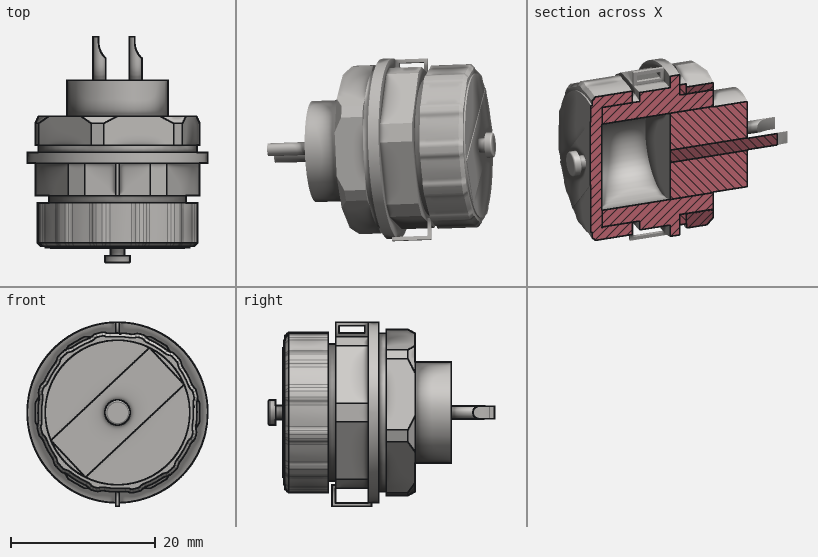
import cadquery as cq
import math


FLANGE_DIAMETER = 25.0
FLANGE_THICKNESS = 1.5
HEX_ACROSS_FLATS = 21.0
HEX_ACROSS_CORNERS = 22.75
HEX_LENGTH = 4.5
THREAD_DIAMETER = 19.0
LOOP_WIDTH = 0.5
LOOP_BAR = 0.5
RIM_OVERLAP = 0.01
CAP_GAP = 1.0

GASKET_DIAMETER = 22.0
GASKET_THICKNESS = 1.0
NUT_THICKNESS = 4.0
NUT_ACROSS_CORNERS = 23.25
NUT_CHAMFER = 1.0
NUT_TURN = 43.8

INSERT_DIAMETER = 14.0
INSERT_PROJECTION = 5.0
CONTACT_DIAMETER = 1.8
CONTACT_SPACING = 5.0
CONTACT_PROJECTION = 6.0
SCOOP_RADIUS = 3.0
SCOOP_LENGTH = 3.0
SCOOP_OFFSET = 0.1

CAP_LENGTH = 6.0
CAP_END_WALL = 1.5
CAP_CHAMFER = 0.5
RIDGE_COUNT = 12
RIDGE_RADIUS = 11.3
VALLEY_RADIUS = 11.0
CREST_HALF_ANGLES = (2.9, 1.5, 2.2)
FLANK_ARC_ANGLE = 2.7
CAP_TURN = 43.2
DISC_DIAMETER = 20.0
DISC_HEIGHT = 0.2
PLATE_WIDTH = 7.0
PLATE_HEIGHT = 0.1
KNOB_STEM_DIAMETER = 2.0
KNOB_STEM_LENGTH = 1.0
KNOB_HEAD_DIAMETER = 3.5
KNOB_HEAD_LENGTH = 1.0
KNOB_FILLET = 0.25

insert_back = FLANGE_THICKNESS + GASKET_THICKNESS + NUT_THICKNESS + INSERT_PROJECTION
nut_back = insert_back - INSERT_PROJECTION
gasket_back = nut_back - NUT_THICKNESS
contact_back = insert_back + CONTACT_PROJECTION
hex_front = -HEX_LENGTH
cap_back = hex_front - CAP_GAP
cap_front = cap_back - CAP_LENGTH
thread_front = cap_front + CAP_END_WALL
disc_front = cap_front - DISC_HEIGHT
plate_front = disc_front - PLATE_HEIGHT
stem_front = plate_front - KNOB_STEM_LENGTH


def section_at(y):
    """Workplane across the axis at y: local x is X, local y is Z, extrusions run to -Y."""
    return cq.Workplane("XZ", origin=(0, y, 0))


def cylinder(diameter, back, front):
    return section_at(back).circle(diameter / 2).extrude(back - front)


def hexagon(across_flats, back, front):
    """Hexagonal prism with corners on the X axis."""
    across_points = across_flats / math.cos(math.pi / 6)
    return section_at(back).polygon(6, across_points).extrude(back - front)


def cut_corner_hexagon(across_flats, across_corners, back, front):
    """Hexagonal prism whose six corners are cut off flat."""
    corner_cutter = hexagon(across_corners, back, front).rotate((0, 0, 0), (0, 1, 0), 30)
    return hexagon(across_flats, back, front).intersect(corner_cutter)


def loop_block(back, front, bottom, top):
    """Thin block in the plane X = 0."""
    size = (LOOP_WIDTH, back - front, top - bottom)
    centre = (0, (back + front) / 2, (top + bottom) / 2)
    return cq.Workplane("XY").box(*size).translate(centre)


def make_strap_eye():
    """Rectangular frame in the corner between flange and hexagon, on the +Z side."""
    bottom = HEX_ACROSS_FLATS / 2
    top = FLANGE_DIAMETER / 2 - RIM_OVERLAP
    frame = loop_block(LOOP_BAR, hex_front, bottom, top)
    window = loop_block(-LOOP_BAR, hex_front + LOOP_BAR, bottom + LOOP_BAR, top - LOOP_BAR)
    return frame.cut(window)


def make_hook():
    """L-shaped bar from the flange rim to the front face of the hexagon, on the -Z side."""
    rim = -FLANGE_DIAMETER / 2
    front = hex_front - LOOP_BAR
    flat = -HEX_ACROSS_FLATS / 2
    long_bar = loop_block(LOOP_BAR, front, rim - LOOP_BAR, rim + RIM_OVERLAP)
    short_bar = loop_block(hex_front, front, rim - LOOP_BAR, flat + LOOP_BAR)
    return long_bar.union(short_bar)


def make_housing():
    body = cylinder(THREAD_DIAMETER, nut_back, thread_front)
    body = body.union(cylinder(FLANGE_DIAMETER, FLANGE_THICKNESS, 0))
    body = body.union(cut_corner_hexagon(HEX_ACROSS_FLATS, HEX_ACROSS_CORNERS, 0, hex_front))
    body = body.union(make_strap_eye()).union(make_hook())
    return body.cut(cylinder(INSERT_DIAMETER, nut_back, thread_front))


def make_gasket():
    ring = cylinder(GASKET_DIAMETER, gasket_back, FLANGE_THICKNESS)
    return ring.cut(cylinder(THREAD_DIAMETER, gasket_back, FLANGE_THICKNESS))


def make_nut():
    """Hexagon nut with its cut-off corners chamfered at the back."""
    corner_cutter = hexagon(NUT_ACROSS_CORNERS, nut_back, gasket_back).faces(">Y").chamfer(NUT_CHAMFER)
    corner_cutter = corner_cutter.rotate((0, 0, 0), (0, 1, 0), 30)
    nut = hexagon(HEX_ACROSS_FLATS, nut_back, gasket_back).intersect(corner_cutter)
    nut = nut.cut(cylinder(THREAD_DIAMETER, nut_back, gasket_back))
    return nut.rotate((0, 0, 0), (0, 1, 0), -NUT_TURN)


def make_contact(x):
    """Round contact with a solder scoop cut into the +X side of its back end."""
    contact = cylinder(CONTACT_DIAMETER, contact_back, 0).translate((x, 0, 0))
    flat_x = x - SCOOP_OFFSET
    wall_to_side = CONTACT_DIAMETER / 2 + SCOOP_OFFSET
    arc_length = math.sqrt(SCOOP_RADIUS**2 - (SCOOP_RADIUS - wall_to_side)**2)
    arc_back = contact_back - SCOOP_LENGTH + arc_length
    round_cut = (
        cq.Workplane("XY")
        .center(flat_x + SCOOP_RADIUS, arc_back)
        .circle(SCOOP_RADIUS)
        .extrude(CONTACT_DIAMETER, both=True)
    )
    flat_length = contact_back - arc_back
    flat_cut = (
        cq.Workplane("XY")
        .center(flat_x + SCOOP_RADIUS / 2, arc_back + flat_length / 2)
        .rect(SCOOP_RADIUS, flat_length)
        .extrude(CONTACT_DIAMETER, both=True)
    )
    return contact.cut(round_cut).cut(flat_cut)


def make_insert(contacts):
    insert = cylinder(INSERT_DIAMETER, insert_back, 0)
    for contact in contacts:
        insert = insert.cut(contact)
    return insert


def polar(radius, degrees):
    angle = math.radians(degrees)
    return (radius * math.cos(angle), radius * math.sin(angle))


def grip_outline(y):
    """Closed outline of the cap: ridges joined to round valleys by S-shaped flanks."""
    pitch = 360 / RIDGE_COUNT
    height = RIDGE_RADIUS - VALLEY_RADIUS
    flank_middle = VALLEY_RADIUS + height / 2
    quarter_rise = height / 8
    low = VALLEY_RADIUS + quarter_rise
    high = RIDGE_RADIUS - quarter_rise
    half_arc = FLANK_ARC_ANGLE / 2

    def crest_at(index):
        return CREST_HALF_ANGLES[index % len(CREST_HALF_ANGLES)]

    foot_angle = 2 * FLANK_ARC_ANGLE
    outline = section_at(y).moveTo(*polar(VALLEY_RADIUS, -crest_at(0) - foot_angle))
    for index in range(RIDGE_COUNT):
        ridge = index * pitch
        crest = crest_at(index)
        middle = crest + FLANK_ARC_ANGLE
        foot = crest + foot_angle
        valley_start = ridge + foot
        valley_end = ridge + pitch - crest_at(index + 1) - foot_angle
        valley_middle = (valley_start + valley_end) / 2
        outline = (
            outline
            .threePointArc(polar(low, ridge - foot + half_arc), polar(flank_middle, ridge - middle))
            .threePointArc(polar(high, ridge - middle + half_arc), polar(RIDGE_RADIUS, ridge - crest))
            .threePointArc(polar(RIDGE_RADIUS, ridge), polar(RIDGE_RADIUS, ridge + crest))
            .threePointArc(polar(high, ridge + middle - half_arc), polar(flank_middle, ridge + middle))
            .threePointArc(polar(low, ridge + foot - half_arc), polar(VALLEY_RADIUS, valley_start))
            .threePointArc(polar(VALLEY_RADIUS, valley_middle), polar(VALLEY_RADIUS, valley_end))
        )
    return outline.close()


def make_knob():
    stem = cylinder(KNOB_STEM_DIAMETER, plate_front, stem_front)
    head = cylinder(KNOB_HEAD_DIAMETER, stem_front, stem_front - KNOB_HEAD_LENGTH)
    return stem.union(head.faces("<Y").edges().fillet(KNOB_FILLET))


def make_cap():
    """Cup with a ridged grip, a raised disc, a plate inscribed in the disc and a knob."""
    cap = grip_outline(cap_back).extrude(CAP_LENGTH).faces("<Y").chamfer(CAP_CHAMFER)
    cap = cap.cut(cylinder(THREAD_DIAMETER, cap_back, thread_front))
    cap = cap.union(cylinder(DISC_DIAMETER, cap_front, disc_front))
    plate_length = math.sqrt(DISC_DIAMETER**2 - PLATE_WIDTH**2)
    plate = section_at(disc_front).rect(plate_length, PLATE_WIDTH).extrude(PLATE_HEIGHT)
    cap = cap.union(plate).union(make_knob())
    return cap.rotate((0, 0, 0), (0, 1, 0), -CAP_TURN)


housing = make_housing()
gasket = make_gasket()
nut = make_nut()
contacts = [make_contact(side * CONTACT_SPACING / 2) for side in (-1, 1)]
insert = make_insert(contacts)
cap = make_cap()

result = cq.Compound.makeCompound(
    [
        housing.val(),
        gasket.val(),
        nut.val(),
        insert.val(),
        *[contact.val() for contact in contacts],
        cap.val(),
    ]
)